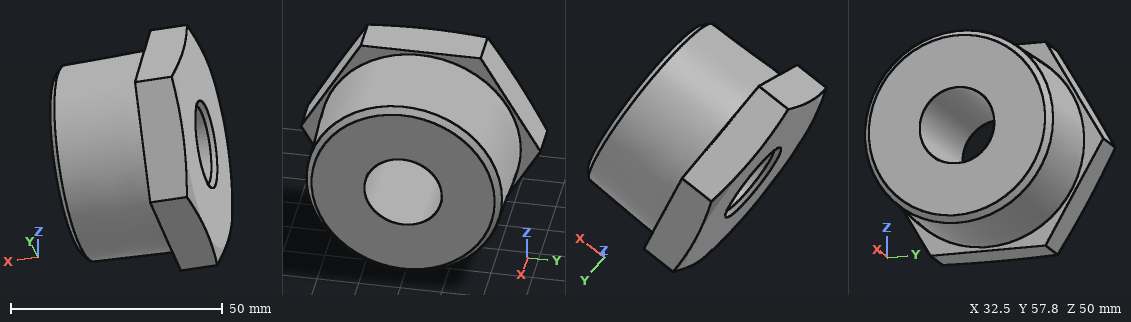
import cadquery as cq
import math

across_corners = 57.75
head_length = 10.0
face_diameter = 49.65
corner_chamfer_depth = 1.05

total_length = 32.5
collar_diameter = 48.2
collar_length = 3.45
tip_diameter = 47.1
tip_chamfer_length = 1.45
tip_chamfer_depth = 1.5

bore_diameter = 18.65
bore_mouth_diameter = 20.95
bore_chamfer_angle = 45.0


def make_head():
    """Hexagon along X with corners on +/-Y, its outer corners turned to a cone."""
    hexagon = cq.Workplane("YZ").polygon(6, across_corners).extrude(head_length)
    turned_blank = (
        cq.Workplane("XY")
        .moveTo(0, 0)
        .lineTo(0, face_diameter / 2)
        .lineTo(corner_chamfer_depth, across_corners / 2)
        .lineTo(head_length, across_corners / 2)
        .lineTo(head_length, 0)
        .close()
        .revolve(360, (0, 0, 0), (1, 0, 0))
    )
    return hexagon.intersect(turned_blank)


def make_shank():
    """Cylindrical collar, slight taper and chamfered tip, turned about X."""
    collar_end = head_length + collar_length
    tip_start = total_length - tip_chamfer_length
    return (
        cq.Workplane("XY")
        .moveTo(head_length, 0)
        .lineTo(head_length, collar_diameter / 2)
        .lineTo(collar_end, collar_diameter / 2)
        .lineTo(tip_start, tip_diameter / 2)
        .lineTo(total_length, tip_diameter / 2 - tip_chamfer_depth)
        .lineTo(total_length, 0)
        .close()
        .revolve(360, (0, 0, 0), (1, 0, 0))
    )


def make_bore():
    """Through hole with a conical mouth at the head face."""
    mouth_width = (bore_mouth_diameter - bore_diameter) / 2
    mouth_depth = mouth_width / math.tan(math.radians(bore_chamfer_angle))
    return (
        cq.Workplane("XY")
        .moveTo(0, 0)
        .lineTo(0, bore_mouth_diameter / 2)
        .lineTo(mouth_depth, bore_diameter / 2)
        .lineTo(total_length, bore_diameter / 2)
        .lineTo(total_length, 0)
        .close()
        .revolve(360, (0, 0, 0), (1, 0, 0))
    )


result = make_head().union(make_shank()).cut(make_bore())